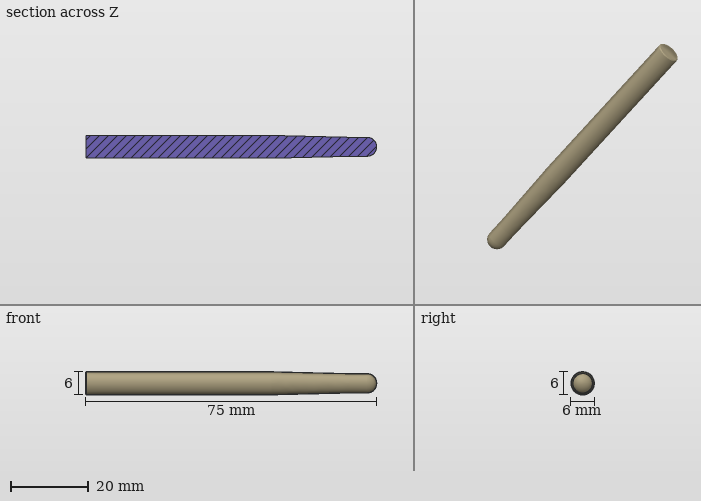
import cadquery as cq
import math

total_length = 75.0
shank_diameter = 6.0
shank_length = 47.9
neck_diameter = 5.0
neck_start = 68.0
rear_chamfer = 0.2

shank_radius = shank_diameter / 2
tip_radius = neck_diameter / 2
tip_center = total_length - tip_radius
arc_offset = tip_radius * math.sqrt(0.5)

half_outline = (
    cq.Workplane("XY")
    .moveTo(0, 0)
    .lineTo(0, shank_radius - rear_chamfer)
    .lineTo(rear_chamfer, shank_radius)
    .lineTo(shank_length, shank_radius)
    .lineTo(neck_start, tip_radius)
    .lineTo(tip_center, tip_radius)
    .threePointArc((tip_center + arc_offset, arc_offset), (total_length, 0))
    .close()
)

result = half_outline.revolve(360, (0, 0, 0), (1, 0, 0))